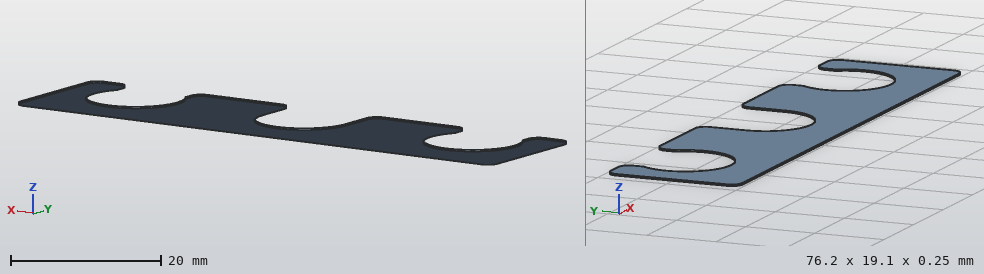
import cadquery as cq

length = 76.2
width = 19.05
thickness = 0.25
corner_radius = 1.5

seat_radius = 6.6
seat_depth = 13.3
seat_spacing = 27.0
narrow_mouth = 11.0
wide_mouth = 2 * seat_radius

top_edge = width / 2
seat_y = top_edge - seat_depth + seat_radius


def seat_cutter(x, mouth_width):
    """Round seat with a straight mouth running out through the +Y edge."""
    mouth_length = top_edge - seat_y
    mouth = (
        cq.Workplane("XY")
        .center(x, seat_y + mouth_length / 2)
        .rect(mouth_width, mouth_length)
        .extrude(thickness)
    )
    seat = cq.Workplane("XY").center(x, seat_y).circle(seat_radius).extrude(thickness)
    return seat.union(mouth)


plate = cq.Workplane("XY").rect(length, width).extrude(thickness)

for x, mouth_width in (
    (-seat_spacing, narrow_mouth),
    (0, wide_mouth),
    (seat_spacing, narrow_mouth),
):
    plate = plate.cut(seat_cutter(x, mouth_width))

long_edge_corners = plate.faces("<Y or >Y").edges("|Z")
result = long_edge_corners.fillet(corner_radius)